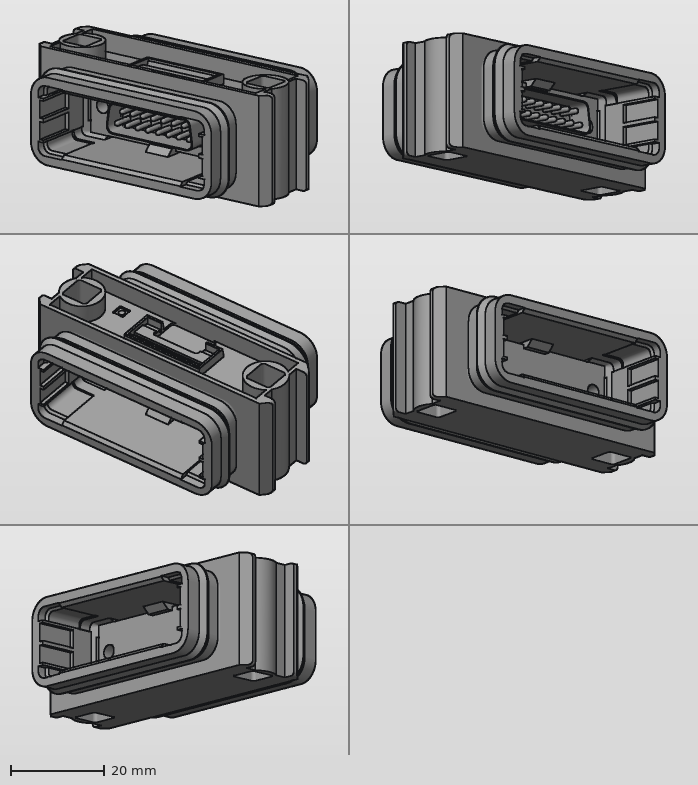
import cadquery as cq
import math


BODY_LENGTH = 62.3
BODY_HEIGHT = 25.0
BODY_DEPTH = 17.45
FLAT_LENGTH = 58.3
HOOK_TIP_REACH = 6.6
HOOK_INNER_REACH = 5.75
HOOK_CORNER_RADIUS = 0.95
END_WALL_LENGTH = 56.75
POCKET_LENGTH = 54.95
POCKET_WIDTH = 15.2
POCKET_DEPTH = 4.35

POST_X = 24.5
POST_RADIUS = 5.0
POST_HOLE_SIZE = 6.3
POST_HOLE_CORNER = 0.75

FRAME_LENGTH = 20.05
FRAME_Y_MIN = -4.4
FRAME_Y_MAX = 4.4
FRAME_HEIGHT = 2.3
FRAME_DRAFT = 0.45
FRAME_BEVEL_WIDTH = 0.4
FRAME_BEVEL_DROP = 0.2
FRAME_SLOPE_DROP = 0.55
FRAME_SLOPE_WIDTH = 0.4
FRAME_RIM = 0.55
INSERT_LEDGE_DROP = 1.55
INSERT_TOP_DROP = 0.95
INSERT_TOP_WIDTH = 3.1
INSERT_GROOVE_WIDTH = 0.3
NOTCH_LENGTH = 11.85
NOTCH_BACK_Y = -0.25
NOTCH_DROP = 0.55
NOTCH_CORNER = 0.8

RECESS_X = 16.95
RECESS_Y = -4.05
RECESS_SIZE = 2.7
RECESS_DEPTH = 0.5
RECESS_PIN_RADIUS = 0.75
RECESS_PIN_SHIFT = 0.3

SOCKET_REACH = 19.05
SOCKET_START = 10.15
SOCKET_HALF_X = 24.1
SOCKET_HALF_Z = 9.9
SOCKET_CORNER = 4.55
NECK_INSET = 0.75
RIDGE_START = 12.85
RIDGE_END = 15.75
RIDGE_TIP_LENGTH = 0.25
RIDGE_HALF_X = 25.25
RIDGE_HALF_Z = 10.65
RIDGE_CORNER = 5.25

CAVITY_HALF_X = 21.2
CAVITY_HALF_Z = 7.0
CAVITY_CORNER = 1.25
LEAD_IN = 0.8
RAMP_START = 4.7
WEB_REACH = 3.4
WEB_HALF_X = 19.75
WEB_HALF_Z = 6.4
WEB_CORNER = 0.2
CORNER_START_X = 15.8
CORNER_START_Z = 5.0
CORNER_MOUTH_HALF_X = 22.2
CORNER_MOUTH_HALF_Z = 7.9
CORNER_MOUTH_RADIUS = 1.9
CORNER_MOUTH_DEPTH = 2.0
CORNER_STEP = 0.55
CORNER_END = 7.5
RAIL_HALF_X = 20.75
RAIL_SLOT_BOTTOM = 0.45
RAIL_SLOT_TOP = 4.4
RAIL_SLOT_HALF_X = 21.7
RAIL_SLOT_END = 9.95
TAB_LENGTH = 6.0
TAB_HALF_Z = 5.5
TAB_START = 6.2

LONG_SLOT_END = 15.1
LONG_SLOT_INNER_Z = 6.35
SIDE_SLOT_LENGTH = 7.7
SIDE_SLOT_INNER_X = 19.7
SIDE_SLOT_OUTER_X = 20.1
SCREW_X = 16.6
SCREW_DIAMETER = 3.1

SHROUD_REACH = 8.85
SHROUD_TOP_HALF = 11.1
SHROUD_BOTTOM_HALF = 12.35
SHROUD_HALF_Z = 4.05
SHROUD_CORNER = 2.2
SHROUD_WALL = 0.75
SHROUD_FLARE = 0.5
PIN_PITCH = 2.75
PIN_Z = 1.45
PIN_RADIUS = 0.59
PIN_REACH = 7.5
PIN_ROWS = ((7, PIN_Z), (8, -PIN_Z))

BODY_TOP = BODY_HEIGHT / 2
FLOOR_Z = BODY_TOP - POCKET_DEPTH


def rounded_rect(half_x, half_z, radius):
    return cq.Sketch().rect(2 * half_x, 2 * half_z).vertices().fillet(radius)


def front_plane(reach):
    """Work plane facing -Y at the given distance in front of the mid-plane."""
    return cq.Workplane("XZ").workplane(offset=reach)


def prism(half_x, half_z, radius, start, end):
    return front_plane(start).placeSketch(rounded_rect(half_x, half_z, radius)).extrude(end - start)


def taper(start_size, end_size, start, end):
    """Rounded block changing from one (half_x, half_z, radius) to another along -Y."""
    far_end = rounded_rect(*end_size).moved(cq.Location(cq.Vector(0, 0, end - start)))
    return front_plane(start).placeSketch(rounded_rect(*start_size), far_end).loft()


def box(x_min, x_max, y_min, y_max, z_min, z_max):
    return cq.Workplane("XY").box(
        x_max - x_min, y_max - y_min, z_max - z_min, centered=False
    ).translate((x_min, y_min, z_min))


def front_box(x_min, x_max, z_min, z_max, start, end):
    return box(x_min, x_max, -end, -start, z_min, z_max)


def both_x(solid):
    return solid.union(solid.mirror("YZ"))


def four_ways(solid):
    """The solid and its mirror images left-right and top-bottom."""
    pair = both_x(solid)
    return pair.union(pair.mirror("XY"))


def make_body():
    corner = [
        (FLAT_LENGTH / 2, BODY_DEPTH / 2),
        (BODY_LENGTH / 2, HOOK_TIP_REACH),
        (BODY_LENGTH / 2, HOOK_INNER_REACH),
        (END_WALL_LENGTH / 2, HOOK_INNER_REACH),
    ]
    right_side = corner + [(x, -y) for x, y in reversed(corner)]
    left_side = [(-x, -y) for x, y in right_side]
    body = cq.Workplane("XY").polyline(right_side + left_side).close().extrude(BODY_TOP, both=True)
    body = body.edges("|Y").edges("<X or >X").fillet(HOOK_CORNER_RADIUS)
    pocket = box(
        -POCKET_LENGTH / 2, POCKET_LENGTH / 2, -POCKET_WIDTH / 2, POCKET_WIDTH / 2, FLOOR_Z, BODY_TOP
    )
    posts = (
        cq.Workplane("XY").pushPoints([(-POST_X, 0), (POST_X, 0)]).circle(POST_RADIUS)
        .extrude(BODY_TOP, both=True)
    )
    return body.cut(pocket).union(posts)


def make_post_holes():
    hole = rounded_rect(POST_HOLE_SIZE / 2, POST_HOLE_SIZE / 2, POST_HOLE_CORNER)
    return (
        cq.Workplane("XY").pushPoints([(-POST_X, 0), (POST_X, 0)]).placeSketch(hole)
        .extrude(BODY_TOP, both=True)
    )


def make_frame():
    """Raised frame with a stepped insert inside it."""
    half_length = FRAME_LENGTH / 2
    top = FLOOR_Z + FRAME_HEIGHT
    profile = [
        (FRAME_Y_MIN, FLOOR_Z),
        (FRAME_Y_MAX, FLOOR_Z),
        (FRAME_Y_MAX, top - FRAME_BEVEL_DROP),
        (FRAME_Y_MAX - FRAME_BEVEL_WIDTH, top),
        (FRAME_Y_MIN + FRAME_DRAFT, top),
    ]
    frame = cq.Workplane("YZ").polyline(profile).close().extrude(half_length, both=True)
    inner_x = half_length - FRAME_RIM
    inner_y_max = FRAME_Y_MAX - FRAME_BEVEL_WIDTH - FRAME_RIM
    inner_y_min = FRAME_Y_MIN + FRAME_DRAFT + FRAME_RIM
    ledge_z = top - INSERT_LEDGE_DROP
    opening_profile = [
        (inner_y_min, top),
        (inner_y_max, top),
        (inner_y_max, top - FRAME_SLOPE_DROP),
        (inner_y_max - FRAME_SLOPE_WIDTH, ledge_z),
        (inner_y_min, ledge_z),
    ]
    opening = cq.Workplane("YZ").polyline(opening_profile).close().extrude(inner_x, both=True)
    insert_y = INSERT_TOP_WIDTH / 2
    insert = box(-inner_x, inner_x, -insert_y, insert_y, ledge_z, top - INSERT_TOP_DROP)
    groove = box(
        -inner_x, inner_x, inner_y_min, inner_y_min + INSERT_GROOVE_WIDTH, FLOOR_Z, ledge_z
    )
    return frame.cut(opening).union(insert).cut(groove)


def make_notch():
    half_length = NOTCH_LENGTH / 2
    notch = box(
        -half_length, half_length, -POCKET_WIDTH / 2, NOTCH_BACK_Y,
        FLOOR_Z - NOTCH_DROP, FLOOR_Z + FRAME_HEIGHT,
    )
    return notch.edges("|Z").fillet(NOTCH_CORNER)


def add_small_recess(part):
    floor = cq.Workplane("XY", origin=(RECESS_X, RECESS_Y, FLOOR_Z - RECESS_DEPTH))
    recess = floor.rect(RECESS_SIZE, RECESS_SIZE).extrude(RECESS_DEPTH)
    pin = floor.center(-RECESS_PIN_SHIFT, RECESS_PIN_SHIFT).circle(RECESS_PIN_RADIUS)
    return part.cut(recess).union(pin.extrude(RECESS_DEPTH))


def make_socket_shell():
    """Solid plug on the front of the body: grooved neck, socket and sealing ridge."""
    body_face = BODY_DEPTH / 2
    neck_half_x = SOCKET_HALF_X - NECK_INSET
    neck_half_z = SOCKET_HALF_Z - NECK_INSET
    neck_corner = SOCKET_CORNER - NECK_INSET
    neck = prism(neck_half_x, neck_half_z, neck_corner, body_face, SOCKET_START)

    groove_reach = (body_face + SOCKET_START) / 2
    groove_radius = (SOCKET_START - body_face) / 2
    ring_block = prism(neck_half_x, neck_half_z, neck_corner, groove_reach, SOCKET_START)
    groove_path = ring_block.faces(">Y").wires().val()
    groove = (
        cq.Workplane("YZ", origin=(0, -groove_reach, neck_half_z)).circle(groove_radius)
        .sweep(cq.Workplane(groove_path))
    )

    socket_size = (SOCKET_HALF_X, SOCKET_HALF_Z, SOCKET_CORNER)
    ridge_size = (RIDGE_HALF_X, RIDGE_HALF_Z, RIDGE_CORNER)
    tip_start = (RIDGE_START + RIDGE_END - RIDGE_TIP_LENGTH) / 2
    tip_end = tip_start + RIDGE_TIP_LENGTH
    return (
        neck.cut(groove)
        .union(prism(*socket_size, SOCKET_START, SOCKET_REACH))
        .union(taper(socket_size, ridge_size, RIDGE_START, tip_start))
        .union(prism(*ridge_size, tip_start, tip_end))
        .union(taper(ridge_size, socket_size, tip_end, RIDGE_END))
    )


def make_corner_recesses():
    """Four corner recesses: deep at the mouth, then a slope to a shallower floor."""
    mouth_size = (CORNER_MOUTH_HALF_X, CORNER_MOUTH_HALF_Z, CORNER_MOUTH_RADIUS)
    floor_size = tuple(size - CORNER_STEP for size in mouth_size)
    slope_end = SOCKET_REACH - CORNER_MOUTH_DEPTH
    slope_start = slope_end - CORNER_STEP
    full = (
        prism(*mouth_size, slope_end, SOCKET_REACH)
        .union(taper(floor_size, mouth_size, slope_start, slope_end))
        .union(prism(*floor_size, CORNER_END, slope_start))
    )
    corner = front_box(
        CORNER_START_X, SOCKET_HALF_X, CORNER_START_Z, SOCKET_HALF_Z, CORNER_END, SOCKET_REACH
    )
    return full.intersect(four_ways(corner))


def make_tab():
    """Wedge hanging from the cavity ceiling in front of the web."""
    slope = CAVITY_HALF_Z - TAB_HALF_Z
    profile = [
        (-WEB_REACH, CAVITY_HALF_Z),
        (-TAB_START, CAVITY_HALF_Z),
        (slope - TAB_START, TAB_HALF_Z),
        (-WEB_REACH, TAB_HALF_Z),
    ]
    return cq.Workplane("YZ").polyline(profile).close().extrude(TAB_LENGTH / 2, both=True)


def make_cavity():
    """Empty space inside the front socket."""
    cavity_size = (CAVITY_HALF_X, CAVITY_HALF_Z, CAVITY_CORNER)
    mouth_size = tuple(size + LEAD_IN for size in cavity_size)
    web_size = (WEB_HALF_X, WEB_HALF_Z, WEB_CORNER)
    lead_in_start = SOCKET_REACH - LEAD_IN
    rail = front_box(
        RAIL_HALF_X, SOCKET_HALF_X, -CORNER_START_Z, CORNER_START_Z, RAMP_START, SOCKET_REACH
    )
    rail_slot = front_box(
        WEB_HALF_X, RAIL_SLOT_HALF_X, RAIL_SLOT_BOTTOM, RAIL_SLOT_TOP,
        RAIL_SLOT_END, SOCKET_REACH,
    )
    tab = make_tab()
    return (
        prism(*cavity_size, RAMP_START, SOCKET_REACH)
        .union(taper(cavity_size, mouth_size, lead_in_start, SOCKET_REACH))
        .union(taper(web_size, cavity_size, WEB_REACH, RAMP_START))
        .cut(both_x(rail))
        .union(make_corner_recesses())
        .union(four_ways(rail_slot))
        .cut(tab.union(tab.mirror("XY")))
    )


def make_web_openings():
    """Slots and screw holes that run from one cavity to the other."""
    long_slot = box(
        TAB_LENGTH / 2, LONG_SLOT_END, -RAMP_START, RAMP_START, LONG_SLOT_INNER_Z, CAVITY_HALF_Z
    )
    half_length = SIDE_SLOT_LENGTH / 2
    side_slot = box(
        SIDE_SLOT_INNER_X, SIDE_SLOT_OUTER_X, -RAMP_START, RAMP_START, -half_length, half_length
    )
    screws = (
        cq.Workplane("XZ").pushPoints([(-SCREW_X, 0), (SCREW_X, 0)]).circle(SCREW_DIAMETER / 2)
        .extrude(RAMP_START, both=True)
    )
    return four_ways(long_slot).union(both_x(side_slot)).union(screws)


def shroud_outline(inset):
    """Rounded D outline, moved inwards by the inset on every side."""
    lean = math.atan((SHROUD_BOTTOM_HALF - SHROUD_TOP_HALF) / (2 * SHROUD_HALF_Z))
    side_shift = inset / math.cos(lean)
    row_shift = inset * math.tan(lean)
    top_half = SHROUD_TOP_HALF + row_shift - side_shift
    bottom_half = SHROUD_BOTTOM_HALF - row_shift - side_shift
    half_z = SHROUD_HALF_Z - inset
    corners = [(-top_half, half_z), (top_half, half_z), (bottom_half, -half_z), (-bottom_half, -half_z)]
    return cq.Sketch().polygon(corners + corners[:1]).vertices().fillet(SHROUD_CORNER - inset)


def make_shroud():
    """D-shaped shroud on the front of the web with two rows of contact pins."""
    length = SHROUD_REACH - WEB_REACH
    base = front_plane(WEB_REACH)
    tube = base.placeSketch(shroud_outline(SHROUD_FLARE)).extrude(length)
    flare_end = shroud_outline(SHROUD_FLARE).moved(cq.Location(cq.Vector(0, 0, SHROUD_FLARE)))
    flare = base.placeSketch(shroud_outline(0), flare_end).loft()
    opening = base.placeSketch(shroud_outline(SHROUD_WALL)).extrude(length)
    shroud = tube.union(flare).cut(opening)

    pin_points = [
        ((index - (count - 1) / 2) * PIN_PITCH, z) for count, z in PIN_ROWS for index in range(count)
    ]
    pins = front_plane(WEB_REACH).pushPoints(pin_points).circle(PIN_RADIUS)
    pins = pins.extrude(PIN_REACH - WEB_REACH)
    tips = front_plane(PIN_REACH).pushPoints(pin_points).sphere(PIN_RADIUS)
    return shroud.union(pins).union(tips)


body = make_body().union(make_frame()).cut(make_notch())
body = add_small_recess(body).cut(make_post_holes())

shell = make_socket_shell()
cavity = make_cavity()
result = (
    body.union(shell).union(shell.mirror("XZ"))
    .cut(cavity).cut(cavity.mirror("XZ"))
    .cut(make_web_openings())
    .union(make_shroud())
)